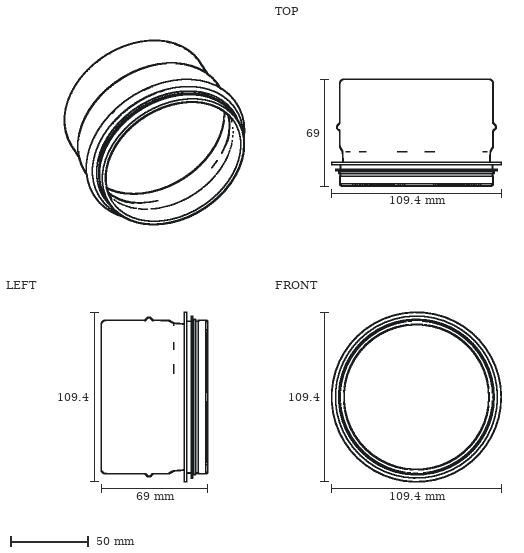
import cadquery as cq
import math


length = 69.0
sheet = 0.49
wall_radius = 99.0 / 2
end_fillet = 3.1
neck_wide_radius = 95.4 / 2
neck_radius = 94.2 / 2
neck_taper_front = 9.4
neck_taper_back = 22.0
cone_back = 25.2
cone_wall_round = 1.3
cone_neck_round = 0.9
hem_edge = 6.2

bead_center = 38.0
bead_peak_radius = 51.4
bead_crown_radius = 2.0
bead_blend_radius = 0.9
bead_flank_angle = 50

seal_radius = wall_radius - sheet
seal_back = 15.4
flange_radius = 54.7
flange_thickness = 1.8
flange_edge_round = 0.3
lip_radius = 104.4 / 2
lip_front = 9.9
lip_thickness = 1.1
lip_edge_round = 0.2
rib_radius = 50.1
rib_center = 8.5
rib_thickness = 1.3

bore_radius = neck_radius - sheet
curl_radius = (wall_radius - bore_radius) / 2
curl_center_radius = bore_radius + curl_radius
open_end = -length / 2


def place(radius, depth):
    """Profile point at a radius and a distance behind the open end."""
    return (radius, open_end + depth)


def revolve_profile(profile):
    return profile.close().revolve(360, (0, 0, 0), (0, 1, 0))


def arc_point(radius, depth, arc_radius, angle):
    """Point on an arc, with its angle measured from the radial direction."""
    turn = math.radians(angle)
    return place(radius + arc_radius * math.cos(turn), depth + arc_radius * math.sin(turn))


def round_ring(body, depth, radius):
    """Round the circular edges centred on the axis at one depth."""
    y = open_end + depth
    margin = 0.01
    ring = cq.selectors.BoxSelector((-margin, y - margin, -margin), (margin, y + margin, margin))
    return body.edges(ring).fillet(radius)


def make_cap_form(inset):
    """Solid form of the cap behind its curl, inset by a given amount."""
    wall = wall_radius - inset
    back = length - inset
    crown = bead_crown_radius - inset
    blend = bead_blend_radius + inset

    slope = math.radians(bead_flank_angle)
    crown_center = bead_peak_radius - bead_crown_radius
    blend_center = wall_radius + bead_blend_radius
    arc_rise = (bead_crown_radius + bead_blend_radius) * (1 - math.cos(slope))
    flank_run = (bead_peak_radius - wall_radius - arc_rise) / math.tan(slope)
    half_width = (bead_crown_radius + bead_blend_radius) * math.sin(slope) + flank_run
    bead_front = bead_center - half_width
    bead_back = bead_center + half_width
    blend_end = 180 - bead_flank_angle
    blend_middle = 180 - bead_flank_angle / 2

    profile = (
        cq.Workplane("XY")
        .moveTo(*place(0, curl_radius))
        .lineTo(*place(neck_radius - inset, curl_radius))
        .lineTo(*place(neck_radius - inset, neck_taper_front))
        .lineTo(*place(neck_wide_radius - inset, neck_taper_back))
        .lineTo(*place(wall, cone_back))
        .lineTo(*place(wall, bead_front))
        .threePointArc(
            arc_point(blend_center, bead_front, blend, blend_middle),
            arc_point(blend_center, bead_front, blend, blend_end),
        )
        .lineTo(*arc_point(crown_center, bead_center, crown, -bead_flank_angle))
        .threePointArc(
            place(bead_peak_radius - inset, bead_center),
            arc_point(crown_center, bead_center, crown, bead_flank_angle),
        )
        .lineTo(*arc_point(blend_center, bead_back, blend, -blend_end))
        .threePointArc(
            arc_point(blend_center, bead_back, blend, -blend_middle),
            place(wall, bead_back),
        )
        .lineTo(*place(wall, back))
        .lineTo(*place(0, back))
    )
    form = revolve_profile(profile)
    form = round_ring(form, cone_back, cone_wall_round - inset)
    form = round_ring(form, neck_taper_back, cone_neck_round + inset)
    return round_ring(form, back, end_fillet)


def make_hem():
    """Sheet curled outward around the open end and folded back over the seal."""
    inner_curl = curl_radius - sheet
    profile = (
        cq.Workplane("XY")
        .moveTo(*place(bore_radius, curl_radius))
        .threePointArc(place(curl_center_radius, 0), place(wall_radius, curl_radius))
        .lineTo(*place(wall_radius, hem_edge))
        .lineTo(*place(seal_radius, hem_edge))
        .lineTo(*place(seal_radius, curl_radius))
        .threePointArc(
            place(curl_center_radius, curl_radius - inner_curl),
            place(neck_radius, curl_radius),
        )
    )
    return revolve_profile(profile)


def make_cap():
    shell = make_cap_form(0).cut(make_cap_form(sheet))
    return shell.union(make_hem())


def make_disc(radius, front, thickness):
    return revolve_profile(
        cq.Workplane("XY")
        .moveTo(*place(0, front))
        .lineTo(*place(radius, front))
        .lineTo(*place(radius, front + thickness))
        .lineTo(*place(0, front + thickness))
    )


def make_rib():
    """Round-crested rib in front of the thin lip."""
    half = rib_thickness / 2
    crest_center = rib_radius - half
    return revolve_profile(
        cq.Workplane("XY")
        .moveTo(*place(0, rib_center - half))
        .lineTo(*place(crest_center, rib_center - half))
        .threePointArc(place(rib_radius, rib_center), place(crest_center, rib_center + half))
        .lineTo(*place(0, rib_center + half))
    )


def make_seal():
    band = make_disc(seal_radius, curl_radius, seal_back - curl_radius)
    flange = make_disc(flange_radius, seal_back - flange_thickness, flange_thickness)
    flange = flange.edges("%CIRCLE").fillet(flange_edge_round)
    lip = make_disc(lip_radius, lip_front, lip_thickness)
    lip = lip.edges("%CIRCLE").fillet(lip_edge_round)
    blank = band.union(flange).union(lip).union(make_rib())
    return blank.cut(make_cap_form(0))


cap = make_cap()
seal = make_seal()
result = cq.Compound.makeCompound([cap.val(), seal.val()])